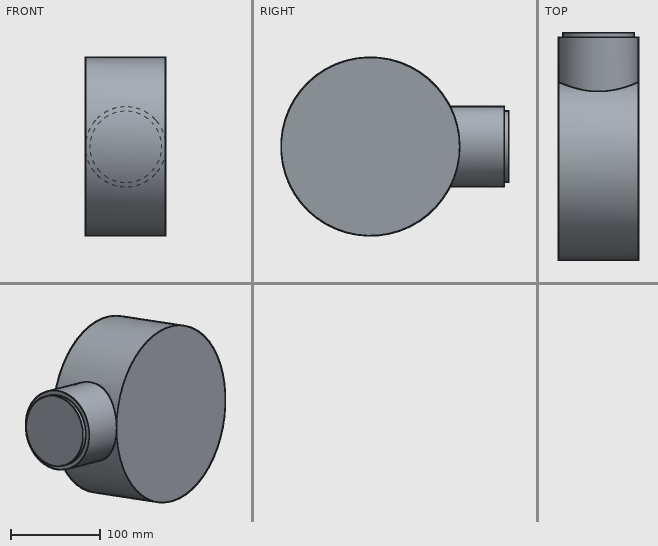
import cadquery as cq

total_length = 255.0
drum_diameter = 200.0
drum_width = 90.0
neck_diameter = drum_width
spigot_diameter = 80.0
spigot_length = 5.0

spigot_end = total_length - drum_diameter / 2
neck_end = spigot_end - spigot_length


def radial_cylinder(diameter, length):
    """Cylinder along +Y, starting at the drum axis."""
    return cq.Workplane("XZ").circle(diameter / 2).extrude(-length)


drum_start = cq.Workplane("YZ").workplane(offset=-drum_width / 2)
drum = drum_start.circle(drum_diameter / 2).extrude(drum_width)

neck = radial_cylinder(neck_diameter, neck_end)
spigot = radial_cylinder(spigot_diameter, spigot_end)

result = drum.union(neck).union(spigot)